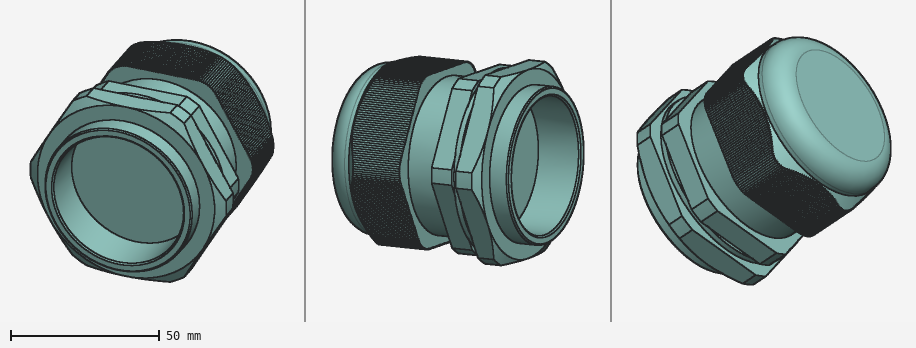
import cadquery as cq
import math


NUT_FRONT = 7.0
NUT_BACK = 15.1
FLANGE_FRONT = 16.1
HEX_FRONT = 18.1
HEX_BACK = 25.9
CAP_FRONT = 38.2
CAP_CONE_START = 56.0
CAP_END = 69.65

THREAD_RADIUS = 54.0 / 2
THREAD_CHAMFER = 0.5
BORE_RADIUS = 47.6 / 2
BORE_CHAMFER = 0.6
BORE_DEPTH = 16.1

NUT_FLATS = 65.0
NUT_CORNER_RADIUS = 35.9
NUT_CHAMFER_ANGLE = 30
FLANGE_RADIUS = 63.5 / 2
HEX_FLATS = 60.2
HEX_CORNER_RADIUS = 33.35
BODY_RADIUS = 54.5 / 2

DOME_RADIUS = 59.2 / 2
DOME_FILLET = 8.1
GRIP_FLATS = 60.4
GRIP_CORNER_RADIUS = 33.5
RIDGES_PER_SIDE = 42
RIDGE_HEIGHT = 0.3


def extrude_along_y(sketch_plane, start, end):
    """Extrude a closed outline in XZ from y = start to y = end."""
    return sketch_plane.extrude(-(end - start)).translate((0, start, 0))


def cylinder(radius, start, end):
    return extrude_along_y(cq.Workplane("XZ").circle(radius), start, end)


def hexagon(flats, corner_radius, start, end):
    """Hexagonal prism with two flats facing +Z and -Z and its corners turned down to a radius."""
    corner_to_corner = flats / math.cos(math.radians(30))
    prism = extrude_along_y(cq.Workplane("XZ").polygon(6, corner_to_corner), start, end)
    return prism.intersect(cylinder(corner_radius, start, end))


def revolve_about_y(points):
    """Revolve a closed outline of (radius, y) points about the Y axis."""
    return cq.Workplane("XY").polyline(points).close().revolve(360, (0, 0, 0), (0, 1, 0))


def lock_nut():
    """Hexagon nut whose front corners are cut by a cone that just touches the flats."""
    face_radius = NUT_FLATS / 2
    cone_depth = (NUT_CORNER_RADIUS - face_radius) * math.tan(math.radians(NUT_CHAMFER_ANGLE))
    envelope = revolve_about_y([
        (0, NUT_FRONT),
        (face_radius, NUT_FRONT),
        (NUT_CORNER_RADIUS, NUT_FRONT + cone_depth),
        (NUT_CORNER_RADIUS, NUT_BACK),
        (0, NUT_BACK),
    ])
    return hexagon(NUT_FLATS, NUT_CORNER_RADIUS, NUT_FRONT, NUT_BACK).intersect(envelope)


def grip_outline():
    """Hexagon with rounded corners whose whole edge is a row of round-topped ridges."""
    apothem = GRIP_FLATS / 2
    turn_per_side = math.radians(60)
    sharp_corner = apothem / math.cos(turn_per_side / 2)
    rounding = (sharp_corner - GRIP_CORNER_RADIUS) / (1 / math.cos(turn_per_side / 2) - 1)
    rounding_center = apothem - rounding
    half_flat = rounding_center * math.tan(turn_per_side / 2)
    flat_length = 2 * half_flat
    side_length = flat_length + rounding * turn_per_side
    ridge_step = side_length / RIDGES_PER_SIDE

    def edge_point(ridge, inset):
        """Point a number of ridge steps around the edge, set in from the crest line."""
        side, step = divmod(ridge, RIDGES_PER_SIDE)
        distance = step * ridge_step
        if distance <= flat_length:
            across = apothem - inset
            along = distance - half_flat
        else:
            angle = (distance - flat_length) / rounding
            across = rounding_center + (rounding - inset) * math.cos(angle)
            along = half_flat + (rounding - inset) * math.sin(angle)
        turn = turn_per_side * (side + 0.5)
        return (
            across * math.cos(turn) - along * math.sin(turn),
            across * math.sin(turn) + along * math.cos(turn),
        )

    ridge_count = 6 * RIDGES_PER_SIDE
    outline = cq.Workplane("XZ").moveTo(*edge_point(0, RIDGE_HEIGHT))
    for ridge in range(ridge_count):
        crest = edge_point(ridge + 0.5, 0)
        valley = edge_point((ridge + 1) % ridge_count, RIDGE_HEIGHT)
        outline = outline.threePointArc(crest, valley)
    return outline.close()


def cap():
    """Ridged hexagonal grip with a 45 degree cone leading up to a domed end."""
    cone_end = CAP_CONE_START + GRIP_CORNER_RADIUS - DOME_RADIUS
    cone_base_radius = DOME_RADIUS + cone_end - CAP_FRONT
    cone = revolve_about_y([
        (0, CAP_FRONT),
        (cone_base_radius, CAP_FRONT),
        (DOME_RADIUS, cone_end),
        (0, cone_end),
    ])
    grip = extrude_along_y(grip_outline(), CAP_FRONT, cone_end).intersect(cone)
    dome = cylinder(DOME_RADIUS, CAP_FRONT, CAP_END).faces(">Y").edges().fillet(DOME_FILLET)
    return grip.union(dome)


def body():
    """Threaded end, sealing flange, fixed hexagon and the barrel that enters the cap."""
    thread = cylinder(THREAD_RADIUS, 0, HEX_FRONT).faces("<Y").edges().chamfer(THREAD_CHAMFER)
    flange = cylinder(FLANGE_RADIUS, FLANGE_FRONT, HEX_FRONT)
    fixed_hex = hexagon(HEX_FLATS, HEX_CORNER_RADIUS, HEX_FRONT, HEX_BACK)
    barrel = cylinder(BODY_RADIUS, HEX_BACK, CAP_FRONT)
    return thread.union(flange).union(fixed_hex).union(barrel)


def bore():
    """Blind bore in the threaded end, with a chamfered mouth."""
    return revolve_about_y([
        (0, 0),
        (BORE_RADIUS + BORE_CHAMFER, 0),
        (BORE_RADIUS, BORE_CHAMFER),
        (BORE_RADIUS, BORE_DEPTH),
        (0, BORE_DEPTH),
    ])


result = body().union(lock_nut()).union(cap()).cut(bore())